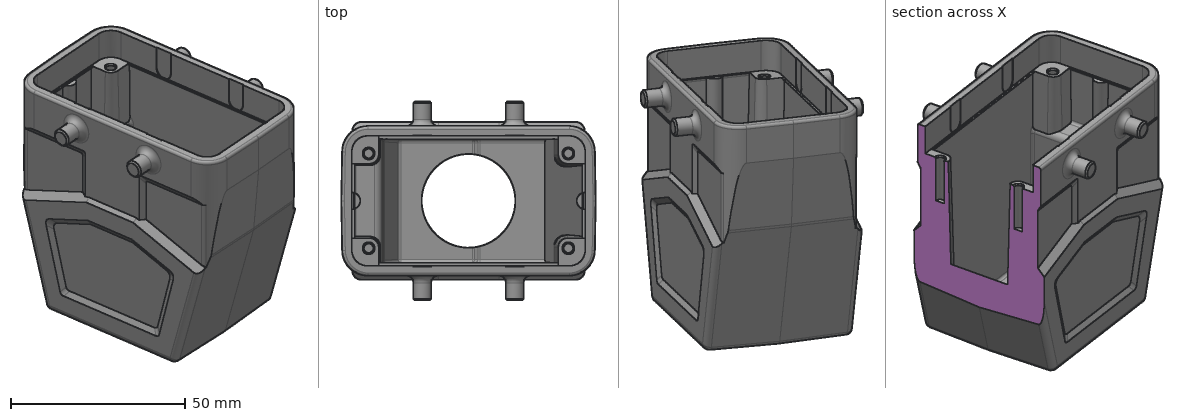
import cadquery as cq
import math


height = 72.0
half_length = 36.5
half_width = 21.45
corner_radius = 7.45
rim_radius = 0.9
draft = 1.0
overrun = 3.65
floor_corner_radius = 1.8
knee_radius = 4.6
floor_half_length = 23.95
knee_half_length = 34.7
knee_height = 39.85
body_bottom = 32.85
shoulder_height = 60.8

block_half_width = 22.6
block_edge_radius = 2.05
roof_height = 42.85
roof_flat_half = 9.0
roof_angle = 20.0
roof_bevel = 2.25

recess_depth = 1.0
recess_floor = half_width - recess_depth
recess_bevel = 1.75
side_recess_inner = 9.85
side_recess_top = 59.0
side_recess_corner = 0.9
side_recess_blend = 2.1
panel_top = 36.95
panel_top_half = 8.0
panel_shoulder = 31.25
panel_shoulder_half = 23.8
panel_bottom = 7.7
panel_bottom_half = 17.95
panel_upper_radius = 4.4
panel_lower_radius = 2.55

pin_diameter = 5.2
pin_span = 57.0
pin_spacing = 26.5
pin_height = 65.6
pin_flare = 2.0
pin_chamfer = 0.5
pin_embed = 1.1

cavity_half_length = 33.4
cavity_half_width = 18.6
cavity_corner = 4.45
wall_draft = 1.0
wall_step_height = 62.85
left_floor = 2.2
left_floor_end = 20.1
right_floor = 3.65
right_floor_end = 21.9
floor_step_start = 1.4
floor_step_end = 2.85
ledge_height = 44.5
ledge_edge = 25.0
ledge_wall_foot = 24.2
ledge_edge_radius = 2.05
floor_edge_radius = 0.9
pin_slot_depth = 0.2
pin_slot_centre = 65.05

post_inner_x = 25.8
post_inner_y = 10.65
post_corner = 2.55
post_draft = 1.5
screw_x = 28.6
screw_y = 13.6
screw_hole = 2.7
screw_mouth = 3.5
screw_depth = 14.6
rib_radius = 2.4
rib_top = 62.8
cable_hole = 26.8


def both_ways(half):
    """A solid on one side of Y = 0 joined to its mirror image."""
    return half.union(half.mirror("XZ"))


def at_corner(shape, sign_x, sign_y):
    """Copy of a corner feature mirrored to the chosen corner."""
    if sign_x < 0:
        shape = shape.mirror("YZ")
    if sign_y < 0:
        shape = shape.mirror("XZ")
    return shape


def mirrored_outline(right_side):
    """Close an outline given by its +X points, listed from bottom to top."""
    left_side = [(-x, z) for x, z in reversed(right_side)]
    return right_side + left_side


def front_solid(points, depth, taper=0.0, start=0.0):
    """Outline in X and Z pushed towards -Y from Y = -start."""
    plane = cq.Workplane("XZ", origin=(0, -start, 0))
    return plane.polyline(points).close().extrude(depth, taper=taper)


def tapered_silhouette(depth):
    """One drafted half of the outer shape, running from Y = 0 towards -Y."""
    upper_lean = (half_length - knee_half_length) / (shoulder_height - knee_height)
    side = [
        (floor_half_length, 0),
        (knee_half_length, knee_height),
        (half_length + upper_lean * (height + overrun - shoulder_height), height + overrun),
    ]
    shape = front_solid(mirrored_outline(side), depth, draft)
    for sign in (-1, 1):
        floor_corner = (sign * floor_half_length, -depth / 2, 0)
        knee = (sign * knee_half_length, -depth / 2, knee_height)
        shape = shape.edges(cq.NearestToPointSelector(floor_corner)).fillet(floor_corner_radius)
        shape = shape.edges(cq.NearestToPointSelector(knee)).fillet(knee_radius)
    return shape


def plan_prism():
    """Drafted plan with rounded corners, for the part of the body above the lower block."""
    corner_x = half_length - half_width * math.tan(math.radians(draft))
    right = [(corner_x, -half_width), (half_length, 0), (corner_x, half_width)]
    plane = cq.Workplane("XY", origin=(0, 0, body_bottom))
    prism = plane.polyline(mirrored_outline(right)).close().extrude(height - body_bottom)
    return prism.edges("|Z and (>Y or <Y)").fillet(corner_radius)


def upper_body():
    rounded = plan_prism().faces(">Z").edges().fillet(rim_radius)
    return rounded.intersect(both_ways(tapered_silhouette(half_width + overrun)))


def recess_core():
    """What stays behind the recesses: the plan narrowed to their floors, with blended corners."""
    slab = cq.Workplane("XY").rect(3 * half_length, 2 * recess_floor).extrude(height)
    return plan_prism().intersect(slab).edges("|Z and (>Y or <Y)").fillet(side_recess_blend)


def side_recess():
    """Bevelled recess in the front face, open towards -X and downwards."""
    def outline(inset, y):
        inner = side_recess_inner + inset
        top = side_recess_top - inset
        width = half_length + overrun - inner
        tall = top - body_bottom
        centre = cq.Vector(-inner - width / 2, top - tall / 2, y)
        rounded = cq.Sketch().rect(width, tall).vertices().fillet(side_recess_corner)
        return rounded.moved(cq.Location(centre))

    plane = cq.Workplane("XZ")
    floor_outline = outline(recess_bevel, recess_floor)
    bevelled = plane.placeSketch(floor_outline, outline(0, half_width)).loft()
    behind_floor = plane.placeSketch(floor_outline).extrude(-side_recess_blend)
    return bevelled.union(behind_floor).cut(recess_core())


def recessed_body():
    body = upper_body()
    recess = side_recess()
    for sign_x in (-1, 1):
        for sign_y in (-1, 1):
            body = body.cut(at_corner(recess, sign_x, sign_y))
    return body


def lower_block():
    """Thicker lower half with a roof-shaped bevelled top, in front of Y = 0."""
    block = tapered_silhouette(block_half_width).faces("<Y").edges().fillet(block_edge_radius)
    reach = half_length + overrun
    eave = roof_height + roof_bevel - (reach - roof_flat_half) * math.tan(math.radians(roof_angle))
    below_roof = [
        (reach, -overrun),
        (reach, eave),
        (roof_flat_half, roof_height + roof_bevel),
    ]
    outline = mirrored_outline(below_roof)
    bevel_start = block_half_width - roof_bevel
    roofed = front_solid(outline, bevel_start).union(front_solid(outline, roof_bevel, 45, bevel_start))
    return block.intersect(roofed)


def panel_recess():
    """Sunken name panel on the front face of the lower block."""
    side = [
        (panel_bottom_half, panel_bottom),
        (panel_shoulder_half, panel_shoulder),
        (panel_top_half, panel_top),
    ]
    panel_taper = math.degrees(math.atan2(recess_bevel, recess_depth))
    plane = cq.Workplane("XZ", origin=(0, -block_half_width, 0))
    panel = plane.polyline(mirrored_outline(side)).close().extrude(-recess_depth, taper=panel_taper)
    middle_y = recess_depth / 2 - block_half_width
    rounded = (
        (panel_bottom_half, panel_bottom, panel_lower_radius),
        (panel_shoulder_half, panel_shoulder, panel_upper_radius),
    )
    for x, z, radius in rounded:
        for sign in (-1, 1):
            corner = cq.NearestToPointSelector((sign * x, middle_y, z))
            panel = panel.edges(corner).fillet(radius)
    return panel


def pin():
    """Locking pin on the front wall at -X, with a flared root and a bevelled tip."""
    root = half_width - pin_embed
    flare_radius = pin_diameter / 2 + pin_flare
    profile = (
        cq.Workplane("XY")
        .moveTo(0, -root)
        .lineTo(flare_radius, -root)
        .lineTo(flare_radius, -half_width)
        .radiusArc((pin_diameter / 2, -half_width - pin_flare), -pin_flare)
        .lineTo(pin_diameter / 2, pin_chamfer - pin_span / 2)
        .lineTo(pin_diameter / 2 - pin_chamfer, -pin_span / 2)
        .lineTo(0, -pin_span / 2)
        .close()
    )
    return profile.revolve(360, (0, 0, 0), (0, 1, 0)).translate((-pin_spacing / 2, 0, pin_height))


def post():
    """Drafted corner post at +X, +Y, standing under the wall step."""
    length = half_length - post_inner_x
    width = half_width - post_inner_y
    centre = (post_inner_x + length / 2, post_inner_y + width / 2, wall_step_height)
    plan = cq.Sketch().rect(length, width).vertices().fillet(post_corner)
    plane = cq.Workplane("XY", origin=centre)
    return plane.placeSketch(plan).extrude(-wall_step_height, taper=-post_draft)


def screw_bore():
    return (
        cq.Workplane("XY", origin=(screw_x, screw_y, wall_step_height))
        .circle(screw_hole / 2)
        .extrude(-screw_depth)
        .faces(">Z")
        .workplane()
        .circle(screw_mouth / 2)
        .workplane(offset=-(screw_mouth - screw_hole) / 2)
        .circle(screw_hole / 2)
        .loft()
    )


def cavity():
    plan = cq.Sketch().rect(2 * cavity_half_length, 2 * cavity_half_width).vertices().fillet(cavity_corner)
    mouth_plane = cq.Workplane("XY", origin=(0, 0, wall_step_height))
    mouth = mouth_plane.placeSketch(plan).extrude(height - wall_step_height)
    well = mouth_plane.placeSketch(plan).extrude(-wall_step_height, taper=wall_draft)

    lean = (knee_half_length - floor_half_length) / knee_height
    wall_foot_height = left_floor + (ledge_wall_foot - left_floor_end) / lean
    right_top = right_floor_end + lean * (wall_step_height - right_floor)
    section = [
        (-half_length, wall_step_height),
        (-half_length, ledge_height),
        (-ledge_edge, ledge_height),
        (-ledge_wall_foot, wall_foot_height),
        (-left_floor_end, left_floor),
        (floor_step_start, left_floor),
        (floor_step_end, right_floor),
        (right_floor_end, right_floor),
        (right_top, wall_step_height),
    ]
    trough = front_solid(section, 2 * half_width, start=-half_width)
    trough = trough.edges(cq.NearestToPointSelector((-ledge_edge, 0, ledge_height))).fillet(ledge_edge_radius)
    for x, z in section[3:7]:
        trough = trough.edges(cq.NearestToPointSelector((x, 0, z))).fillet(floor_edge_radius)
    well = well.intersect(trough)
    well = well.faces("<Z[0] or <Z[1]").edges("|X").fillet(floor_edge_radius)
    for sign_x in (-1, 1):
        rib = cq.Workplane("XY").center(sign_x * cavity_half_length, 0).circle(rib_radius).extrude(rib_top)
        well = well.cut(rib)
        for sign_y in (-1, 1):
            well = well.cut(at_corner(post(), sign_x, sign_y))
    return mouth.union(well)


def pin_slot():
    """Shallow round-ended groove in the inner wall behind the -X front pin."""
    plane = cq.Workplane("XZ", origin=(-pin_spacing / 2, -cavity_half_width, pin_slot_centre))
    straight = height - pin_slot_centre
    groove = plane.circle(pin_diameter / 2).extrude(pin_slot_depth)
    return groove.union(plane.center(0, straight / 2).rect(pin_diameter, straight).extrude(pin_slot_depth))


shell = recessed_body().union(both_ways(lower_block().cut(panel_recess())))
shell = shell.cut(cavity())
for sign_x in (-1, 1):
    for sign_y in (-1, 1):
        shell = shell.union(at_corner(pin(), -sign_x, -sign_y))
        shell = shell.cut(at_corner(pin_slot(), -sign_x, -sign_y))
        shell = shell.cut(at_corner(screw_bore(), sign_x, sign_y))
result = shell.cut(cq.Workplane("XY").circle(cable_hole / 2).extrude(ledge_height))